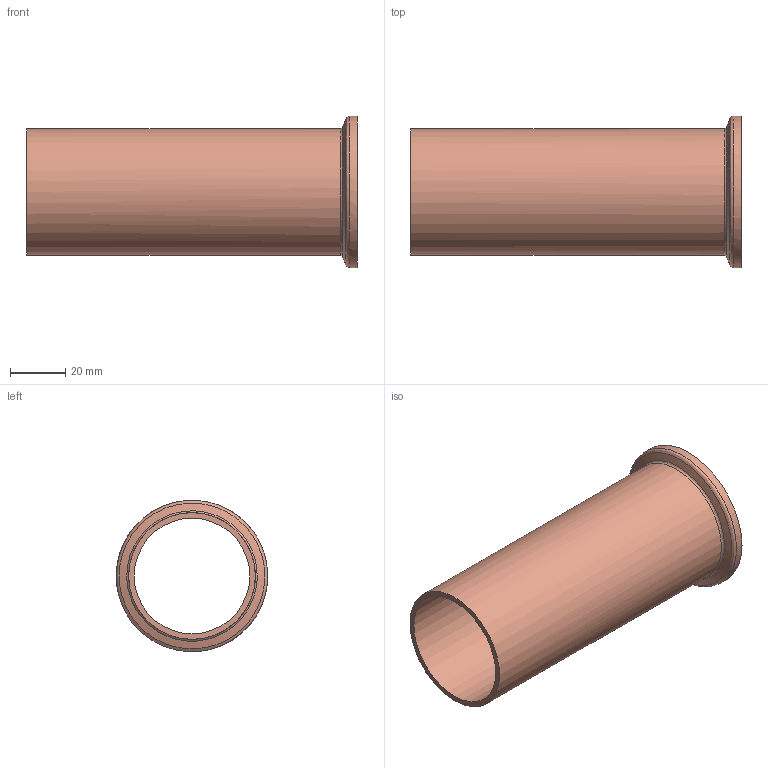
import cadquery as cq
import math

total_length = 120.0
bore_diameter = 42.0
tube_diameter = 46.0
flange_diameter = 55.0

rim_width = 2.85
flank_angle = 18.0
rim_radius = 1.5
root_radius = 1.0

match_tolerance = 0.01

bore_r = bore_diameter / 2
tube_r = tube_diameter / 2
flange_r = flange_diameter / 2

tangent_length = rim_radius * math.tan(math.radians((90 - flank_angle) / 2))
flank_length = (flange_r - tube_r) * math.tan(math.radians(flank_angle))
rim_corner_x = total_length - rim_width - tangent_length
root_corner_x = rim_corner_x - flank_length


def ferrule_blank():
    """Tube with sharp-cornered flange, revolved about the X axis."""
    half_section = (
        cq.Workplane("XY")
        .moveTo(0, bore_r)
        .lineTo(0, tube_r)
        .lineTo(root_corner_x, tube_r)
        .lineTo(rim_corner_x, flange_r)
        .lineTo(total_length, flange_r)
        .lineTo(total_length, bore_r)
        .close()
    )
    return half_section.revolve(360, (0, 0, 0), (1, 0, 0))


def round_circle_at(body, x, circle_r, fillet_r):
    """Round the circular edge that lies at x with radius circle_r."""
    circles = body.edges("%CIRCLE").filter(
        lambda e: abs(e.Center().x - x) < match_tolerance
        and abs(e.radius() - circle_r) < match_tolerance
    )
    return circles.fillet(fillet_r)


result = ferrule_blank()
result = round_circle_at(result, rim_corner_x, flange_r, rim_radius)
result = round_circle_at(result, root_corner_x, tube_r, root_radius)